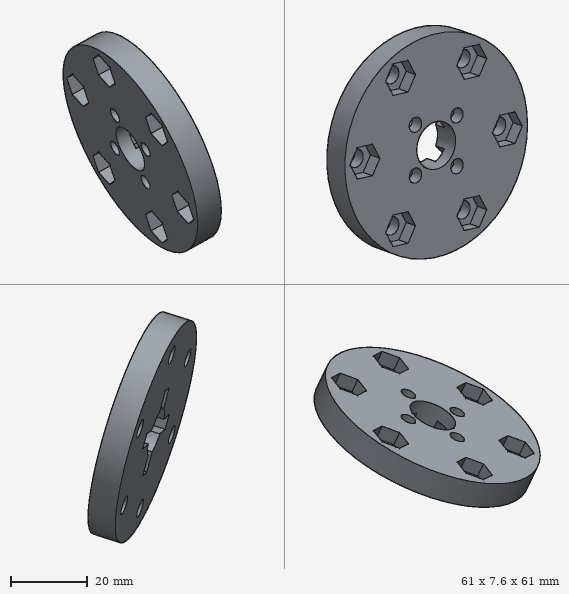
import cadquery as cq
import math

disc_diameter = 60.95
disc_thickness = 7.6

bore_diameter = 12.9

hub_hole_diameter = 4.1
hub_hole_spacing = 13.85

cross_depth = 3.65
cross_angle = 45
cross_arm_width = hub_hole_diameter
cross_length = hub_hole_spacing * math.sqrt(2) + hub_hole_diameter

bolt_count = 6
bolt_circle_radius = 23.8
bolt_hole_diameter = 5.0
nut_corner_diameter = 9.95
nut_pocket_depth = 3.9


def front_plane():
    """Sketch plane on the front face; its normal points out of the disc."""
    return cq.Workplane("XZ", origin=(0, -disc_thickness / 2, 0))


def bolt_points():
    """Bolt centres, all keeping the same rotation so the hexagons stay parallel."""
    return front_plane().polarArray(bolt_circle_radius, 0, 360, bolt_count, rotate=False)


def through_cylinders(points, diameter):
    return points.circle(diameter / 2).extrude(-disc_thickness)


def cross_bar(angle):
    """One bar of the cross, cut forward from the rear face."""
    return (
        cq.Workplane("XZ", origin=(0, disc_thickness / 2, 0))
        .transformed(rotate=(0, 0, angle))
        .rect(cross_length, cross_arm_width)
        .extrude(cross_depth)
    )


disc = through_cylinders(front_plane(), disc_diameter)
bore = through_cylinders(front_plane(), bore_diameter)
hub_holes = through_cylinders(
    front_plane().rect(hub_hole_spacing, hub_hole_spacing, forConstruction=True).vertices(),
    hub_hole_diameter,
)
bolt_holes = through_cylinders(bolt_points(), bolt_hole_diameter)

cross = cross_bar(cross_angle).union(cross_bar(-cross_angle))

nut_pockets = bolt_points().polygon(6, nut_corner_diameter).extrude(-nut_pocket_depth)

result = disc.cut(bore).cut(hub_holes).cut(bolt_holes).cut(nut_pockets).cut(cross)